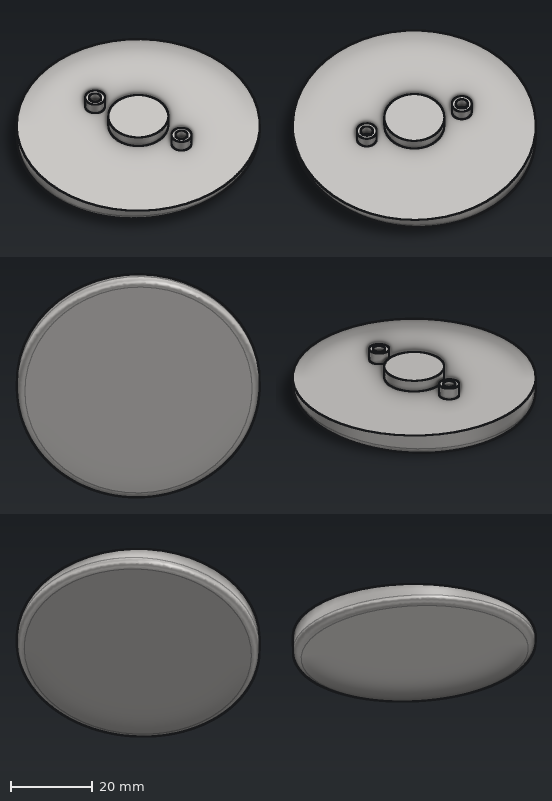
import cadquery as cq
import math

disk_diameter = 59.95
center_thickness = 4.6
underside_angle = 3.0
rim_fillet = 2.0
raised_height = 3.0
hub_diameter = 14.8
post_diameter = 4.9
post_bore_diameter = 3.0
post_offset = 12.5

disk_radius = disk_diameter / 2
underside_rise = disk_radius * math.tan(math.radians(underside_angle))


def make_disk():
    """Round disk with a sloping underside and a filleted lower rim."""
    thick_side = center_thickness + underside_rise
    thin_side = center_thickness - underside_rise
    wedge = (
        cq.Workplane("XZ")
        .polyline([
            (-disk_radius, 0),
            (disk_radius, 0),
            (disk_radius, -thin_side),
            (-disk_radius, -thick_side),
        ])
        .close()
        .extrude(disk_radius, both=True)
    )
    cylinder = cq.Workplane("XY").circle(disk_radius).extrude(-thick_side)
    return cylinder.intersect(wedge).faces("<Z").edges().fillet(rim_fillet)


def make_hub():
    """Solid round hub at the middle of the top face."""
    return cq.Workplane("XY").circle(hub_diameter / 2).extrude(raised_height)


def make_posts():
    """Two hollow posts, bored down to the top face of the disk."""
    return (
        cq.Workplane("XY")
        .pushPoints([(-post_offset, 0), (post_offset, 0)])
        .circle(post_diameter / 2)
        .circle(post_bore_diameter / 2)
        .extrude(raised_height)
    )


result = make_disk().union(make_hub()).union(make_posts())